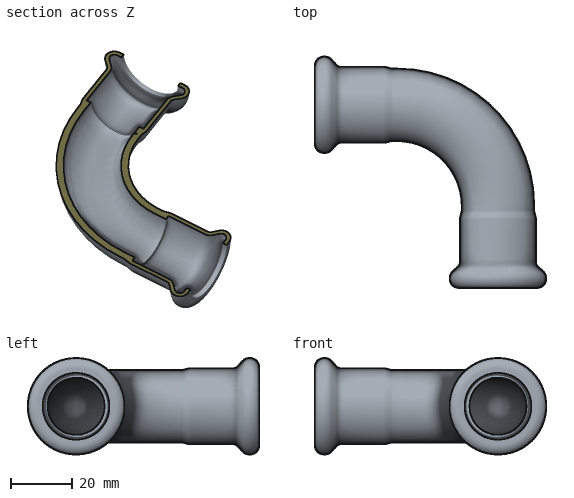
import cadquery as cq
import math


mouth_distance = 60.0
bend_radius = 33.0

tube_diameter = 23.8
tube_bore = 18.7

socket_diameter = 25.0
wall = 1.55
socket_depth = 22.55

bead_diameter = 31.7
bead_radius = 3.15
bead_angle = 47.0
bead_end = 8.4

taper_angle = 15.0
taper_socket_radius = 3.0
taper_tube_radius = 1.5

tube_radius = tube_diameter / 2
bore_radius = tube_bore / 2
socket_radius = socket_diameter / 2
socket_bore_radius = socket_radius - wall
bead_centre_radius = bead_diameter / 2 - bead_radius
socket_length = mouth_distance - bend_radius


def arc_point(centre, radius, angle):
    """Point on a circle in (axial, radial) coordinates; angle in degrees from +radial toward +axial."""
    turn = math.radians(angle)
    return (centre[0] + radius * math.sin(turn), centre[1] + radius * math.cos(turn))


def bead_blend_radius():
    """Outer radius of the blend tangent to both the bead's cone and the socket cylinder."""
    slope = math.radians(bead_angle)
    axial_gap = bead_end - bead_radius
    radial_gap = socket_radius - bead_centre_radius
    reach = axial_gap * math.sin(slope) + radial_gap * math.cos(slope)
    return (reach - bead_radius) / (1 - math.cos(slope))


def taper_cone_length():
    """Axial length of the straight cone left between the two taper roundings."""
    slope = math.radians(taper_angle)
    rounding_drop = (taper_socket_radius + taper_tube_radius) * (1 - math.cos(slope))
    return (socket_radius - tube_radius - rounding_drop) / math.tan(slope)


def make_socket():
    """Socket with bead and taper, revolved about X with its mouth face at x = 0."""
    bead_centre = (bead_radius, bead_centre_radius)
    blend_radius = bead_blend_radius()
    blend_centre = (bead_end, socket_radius + blend_radius)
    blend_start = 180 + bead_angle
    blend_middle = 180 + bead_angle / 2
    groove_radius = bead_radius - wall
    groove_blend_radius = blend_radius + wall

    slope = math.radians(taper_angle)
    half_taper = taper_angle / 2
    taper_start = (socket_depth, socket_radius)
    taper_socket_centre = (socket_depth, socket_radius - taper_socket_radius)
    taper_end_depth = (
        socket_depth
        + (taper_socket_radius + taper_tube_radius) * math.sin(slope)
        + taper_cone_length()
    )
    taper_tube_centre = (taper_end_depth, tube_radius + taper_tube_radius)

    profile = (
        cq.Workplane("XY")
        .moveTo(wall, bead_centre_radius)
        .lineTo(wall, socket_bore_radius)
        .lineTo(0, socket_bore_radius)
        .lineTo(0, bead_centre_radius)
        .threePointArc(
            arc_point(bead_centre, bead_radius, 0),
            arc_point(bead_centre, bead_radius, bead_angle),
        )
        .lineTo(*arc_point(blend_centre, blend_radius, blend_start))
        .threePointArc(
            arc_point(blend_centre, blend_radius, blend_middle),
            (bead_end, socket_radius),
        )
        .lineTo(*taper_start)
        .threePointArc(
            arc_point(taper_socket_centre, taper_socket_radius, half_taper),
            arc_point(taper_socket_centre, taper_socket_radius, taper_angle),
        )
        .lineTo(*arc_point(taper_tube_centre, taper_tube_radius, 180 + taper_angle))
        .threePointArc(
            arc_point(taper_tube_centre, taper_tube_radius, 180 + half_taper),
            (taper_end_depth, tube_radius),
        )
        .lineTo(socket_length, tube_radius)
        .lineTo(socket_length, bore_radius)
        .lineTo(socket_depth, bore_radius)
        .lineTo(socket_depth, socket_bore_radius)
        .lineTo(bead_end, socket_bore_radius)
        .threePointArc(
            arc_point(blend_centre, groove_blend_radius, blend_middle),
            arc_point(blend_centre, groove_blend_radius, blend_start),
        )
        .lineTo(*arc_point(bead_centre, groove_radius, bead_angle))
        .threePointArc(
            arc_point(bead_centre, groove_radius, 0),
            (wall, bead_centre_radius),
        )
        .close()
    )
    return profile.revolve(360, (0, 0, 0), (1, 0, 0))


def make_bend():
    """Quarter-turn tube joining the inner ends of the two sockets."""
    ring = (
        cq.Workplane("XZ", origin=(0, -bend_radius, 0))
        .circle(tube_radius)
        .circle(bore_radius)
    )
    return ring.revolve(90, (-bend_radius, 0, 0), (-bend_radius, 1, 0))


socket_on_x = make_socket().translate((-mouth_distance, 0, 0))
socket_on_y = socket_on_x.rotate((0, 0, 0), (0, 0, 1), 90)

result = make_bend().union(socket_on_x).union(socket_on_y)